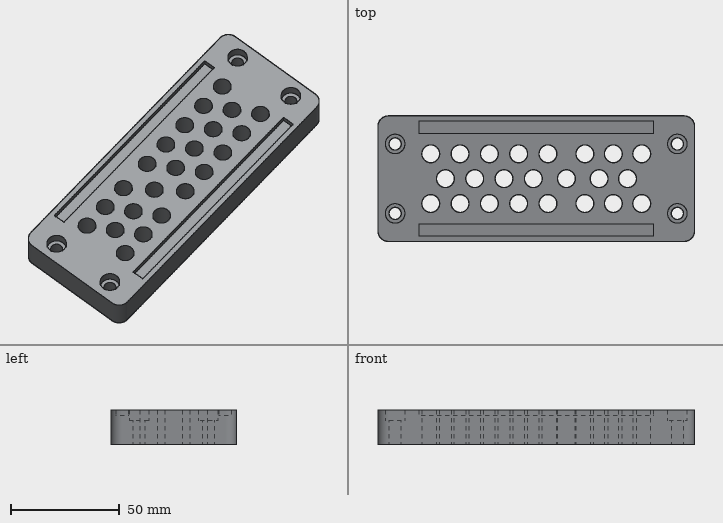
import cadquery as cq

LENGTH = 146.0
WIDTH = 58.0
HEIGHT = 16.0
CORNER_RADIUS = 5.0

MOUNT_SPACING_X = 130.0
MOUNT_SPACING_Y = 32.0
MOUNT_DIAMETER = 5.5
COUNTERBORE_DIAMETER = 9.0
COUNTERBORE_DEPTH = 5.0

HOLE_DIAMETER = 8.1
ROW_OFFSET = 11.45
ROW_HALF_LENGTH = 48.6
LEFT_COUNT = 5
LEFT_PITCH = 13.5
RIGHT_COUNT = 3
RIGHT_PITCH = 13.1

POCKET_LENGTH = 108.0
POCKET_WIDTH = 5.7
POCKET_OFFSET = 23.65
POCKET_DEPTH = 2.7


def outer_row_positions():
    """X positions of an outer row: a left group, a wider gap, then a right group."""
    left = [-ROW_HALF_LENGTH + i * LEFT_PITCH for i in range(LEFT_COUNT)]
    right = [ROW_HALF_LENGTH - i * RIGHT_PITCH for i in reversed(range(RIGHT_COUNT))]
    return left + right


def hole_centres():
    """Centres of all three rows; each middle hole sits midway between its neighbours."""
    outer = outer_row_positions()
    middle = [(a + b) / 2 for a, b in zip(outer, outer[1:])]
    centres = [(x, 0) for x in middle]
    for y in (-ROW_OFFSET, ROW_OFFSET):
        centres += [(x, y) for x in outer]
    return centres


def make_plate():
    """Flat block with rounded vertical corners, resting on Z = 0."""
    plate = cq.Workplane("XY").box(LENGTH, WIDTH, HEIGHT, centered=(True, True, False))
    return plate.edges("|Z").fillet(CORNER_RADIUS)


def top_plane(body):
    """Sketch plane on the top face, with its origin above the plate centre."""
    return body.faces(">Z").workplane(origin=(0, 0, HEIGHT))


def cut_mount_holes(body):
    corners = top_plane(body).rarray(MOUNT_SPACING_X, MOUNT_SPACING_Y, 2, 2)
    return corners.cboreHole(MOUNT_DIAMETER, COUNTERBORE_DIAMETER, COUNTERBORE_DEPTH)


def cut_hole_rows(body):
    return top_plane(body).pushPoints(hole_centres()).hole(HOLE_DIAMETER)


def cut_pockets(body):
    centres = [(0, -POCKET_OFFSET), (0, POCKET_OFFSET)]
    outlines = top_plane(body).pushPoints(centres).rect(POCKET_LENGTH, POCKET_WIDTH)
    return outlines.cutBlind(-POCKET_DEPTH)


result = cut_pockets(cut_hole_rows(cut_mount_holes(make_plate())))